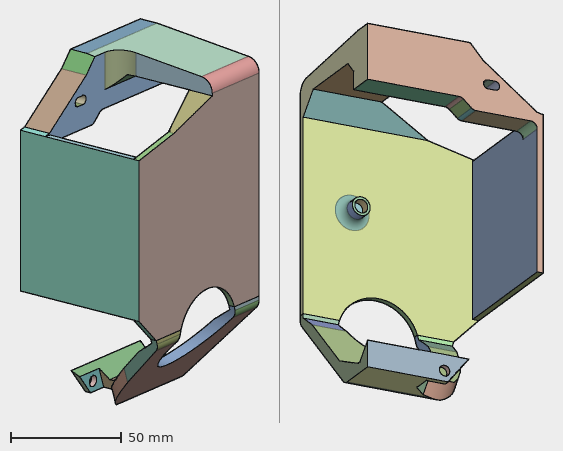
import cadquery as cq
import math

WIDTH = 68.0
DEPTH = 89.3
HEIGHT = 167.9
SHEET = 3.2
WALL_X = WIDTH - SHEET
SPLIT_Z = 49.2

PLATE_TOP_Z = 139.3
PLATE_BOTTOM_Z = 62.0

LEFT_WALL = 14.3
LEFT_WALL_BOTTOM_Z = 140.5
LEFT_WALL_STEP_Z = 135.2
STEP_BACK_Y = 41.6
STEP_FRONT_Y = 35.6
STEP_RADIUS = 3.4
HOOD_FRONT_Y = 37.3
HOOD_BREAK_Y = 30.5
HOOD_BREAK_Z = 160.3
HOOD_FOOT_Z = 140.0
ROOF_BOTTOM_Z = 155.3
ROOF_FRONT_Y = 54.4
ROOF_BREAK_X = 9.5
ROOF_EDGE_Z = 162.7
ROOF_EDGE_RADIUS = 6.7
NOTCH_RADIUS = 10.0
LEFT_GUSSET = 5.7
RIGHT_GUSSET = 10.0
RIGHT_WALL_BREAK_Y = 25.9
RIGHT_WALL_BREAK_Z = ROOF_BOTTOM_Z - RIGHT_GUSSET

SLOT_Y = 26.4
SLOT_Z = 149.1
SLOT_LENGTH = 8.0
SLOT_WIDTH = 4.4

BOSS_Y = 64.5
BOSS_Z = 103.0
BOSS_RADIUS = 9.0 / 2
BOSS_FLARE = 4.0
BOSS_LENGTH = 9.2
BOSS_HOLE_DIAMETER = 6.5
BOSS_HOLE_DEPTH = 5.0

OPENING_Y = 51.0
OPENING_Z = 42.6
OPENING_RADIUS = 20.8

FLANGE_HEIGHT = 13.1
GROOVE_Z = 5.2
GROOVE_LEFT_X = FLANGE_HEIGHT - GROOVE_Z
GROOVE_RIGHT_X = 9.7
RAMP_LOW_X = 28.4
RAMP_HIGH_X = 55.7
RAMP_HIGH_Z = FLANGE_HEIGHT + RAMP_HIGH_X - RAMP_LOW_X
WALL_FOOT_Z = 47.0
UNDERSIDE_X = 23.0
BEND_RADIUS = 5.5

FLANGE_THICKNESS = 3.0
FLANGE_TOP_Y = 37.8
FLANGE_BOTTOM_Y = 48.4
FLOOR_FRONT_Y = 58.1
FLOOR_CORNER_X = 12.5
FLOOR_CUT = 6.5
CURVE_POINTS = [(22.7, 43.0), (28.4, 35.6), (37.1, 31.0)]
CURVE_END_X = 44.3
EDGE_FRONT_Y = PLATE_BOTTOM_Z - SPLIT_Z
EDGE_SLOPE = 0.34
FLANGE_HOLE_Y = 50.2
FLANGE_HOLE_Z = 5.2
FLANGE_HOLE_DIAMETER = 5.2


def box(x0, x1, y0, y1, z0, z1):
    """Block given by its limits along each axis."""
    return cq.Workplane("XY").box(x1 - x0, y1 - y0, z1 - z0, centered=False).translate((x0, y0, z0))


def side_prism(points, x0, x1):
    """Extrude a Y-Z outline along X."""
    return cq.Workplane("YZ").workplane(offset=x0).polyline(points).close().extrude(x1 - x0)


def front_prism(points, y0, y1):
    """Extrude an X-Z outline along Y."""
    return cq.Workplane("XZ").workplane(offset=-y1).polyline(points).close().extrude(y1 - y0)


def opening():
    """Cylinder along X that clears the large opening."""
    return (
        cq.Workplane("YZ")
        .center(OPENING_Y, OPENING_Z)
        .circle(OPENING_RADIUS)
        .extrude(WIDTH)
    )


def make_left_wall():
    outline = [
        (0, PLATE_TOP_Z),
        (SHEET, HOOD_FOOT_Z),
        (HOOD_BREAK_Y, HOOD_BREAK_Z),
        (HOOD_FRONT_Y, HEIGHT),
        (DEPTH, HEIGHT),
        (DEPTH, LEFT_WALL_BOTTOM_Z),
        (STEP_BACK_Y, LEFT_WALL_BOTTOM_Z),
        (STEP_FRONT_Y, LEFT_WALL_STEP_Z),
        (0, LEFT_WALL_STEP_Z),
    ]
    wall = side_prism(outline, 0, LEFT_WALL)
    for y, z in [(STEP_BACK_Y, LEFT_WALL_BOTTOM_Z), (STEP_FRONT_Y, LEFT_WALL_STEP_Z)]:
        corner = cq.selectors.BoxSelector((-1.7, y - 0.2, z - 0.2), (LEFT_WALL + 1.7, y + 0.2, z + 0.2))
        wall = wall.edges(corner).fillet(STEP_RADIUS)
    slot = (
        cq.Workplane("YZ")
        .center(SLOT_Y, SLOT_Z)
        .slot2D(SLOT_LENGTH, SLOT_WIDTH)
        .extrude(LEFT_WALL)
    )
    return wall.cut(slot)


def make_right_wall():
    outline = [
        (0, PLATE_BOTTOM_Z),
        (0, PLATE_TOP_Z),
        (RIGHT_WALL_BREAK_Y, RIGHT_WALL_BREAK_Z),
        (ROOF_FRONT_Y, ROOF_BOTTOM_Z),
        (DEPTH, ROOF_BOTTOM_Z),
        (DEPTH, SPLIT_Z),
        (EDGE_FRONT_Y, SPLIT_Z),
    ]
    return side_prism(outline, WALL_X, WIDTH)


def make_roof():
    """Roof behind the notch, with the rounded corner of the notch and both gussets."""
    roof = box(LEFT_WALL, WIDTH, ROOF_FRONT_Y, DEPTH, ROOF_BOTTOM_Z, HEIGHT)
    corner_y = ROOF_FRONT_Y - NOTCH_RADIUS
    corner_x = LEFT_WALL + NOTCH_RADIUS
    corner_bottom = ROOF_BOTTOM_Z - LEFT_GUSSET
    corner = box(LEFT_WALL, corner_x, corner_y, ROOF_FRONT_Y, corner_bottom, HEIGHT)
    round_cut = (
        cq.Workplane("XY")
        .center(corner_x, corner_y)
        .circle(NOTCH_RADIUS)
        .extrude(HEIGHT)
    )
    slope_cut = front_prism(
        [
            (LEFT_WALL, corner_bottom),
            (LEFT_WALL + LEFT_GUSSET, ROOF_BOTTOM_Z),
            (corner_x, ROOF_BOTTOM_Z),
            (corner_x, corner_bottom),
        ],
        corner_y,
        ROOF_FRONT_Y,
    )
    left_gusset = front_prism(
        [
            (LEFT_WALL, ROOF_BOTTOM_Z),
            (LEFT_WALL + LEFT_GUSSET, ROOF_BOTTOM_Z),
            (LEFT_WALL, corner_bottom),
        ],
        ROOF_FRONT_Y,
        DEPTH,
    )
    right_gusset = front_prism(
        [
            (WALL_X - RIGHT_GUSSET, ROOF_BOTTOM_Z),
            (WALL_X, ROOF_BOTTOM_Z),
            (WALL_X, RIGHT_WALL_BREAK_Z),
        ],
        RIGHT_WALL_BREAK_Y,
        DEPTH,
    )
    gusset_limit = side_prism(
        [
            (RIGHT_WALL_BREAK_Y, RIGHT_WALL_BREAK_Z),
            (ROOF_FRONT_Y, ROOF_BOTTOM_Z),
            (DEPTH, ROOF_BOTTOM_Z),
            (DEPTH, RIGHT_WALL_BREAK_Z),
        ],
        0,
        WIDTH,
    )
    roof = roof.union(corner.cut(round_cut).cut(slope_cut))
    return roof.union(left_gusset).union(right_gusset.intersect(gusset_limit))


def make_roof_envelope():
    """Everything below the falling roof line and its rounded right edge."""
    outline = [
        (0, 0),
        (0, HEIGHT),
        (ROOF_BREAK_X, HEIGHT),
        (WIDTH, ROOF_EDGE_Z),
        (WIDTH, 0),
    ]
    edge = cq.selectors.NearestToPointSelector((WIDTH, DEPTH / 2, ROOF_EDGE_Z))
    return front_prism(outline, 0, DEPTH).edges(edge).fillet(ROOF_EDGE_RADIUS)


def make_boss():
    """Round boss pointing to -X, flared where it leaves the right wall, with a blind hole."""
    outer = BOSS_RADIUS + BOSS_FLARE
    middle = BOSS_FLARE * (1 - math.sqrt(0.5))
    boss = (
        cq.Workplane("XY")
        .moveTo(0, 0)
        .lineTo(0, outer)
        .threePointArc((-middle, BOSS_RADIUS + middle), (-BOSS_FLARE, BOSS_RADIUS))
        .lineTo(-BOSS_LENGTH, BOSS_RADIUS)
        .lineTo(-BOSS_LENGTH, 0)
        .close()
        .revolve(360, (0, 0, 0), (1, 0, 0))
    )
    hole = (
        cq.Workplane("YZ")
        .workplane(offset=-BOSS_LENGTH)
        .circle(BOSS_HOLE_DIAMETER / 2)
        .extrude(BOSS_HOLE_DEPTH)
    )
    return boss.cut(hole).translate((WALL_X, BOSS_Y, BOSS_Z))


def make_housing():
    plate = box(0, WIDTH, 0, SHEET, PLATE_BOTTOM_Z, PLATE_TOP_Z)
    inner_corner = (
        box(0, LEFT_WALL, SHEET, SHEET + STEP_RADIUS, LEFT_WALL_STEP_Z - STEP_RADIUS, LEFT_WALL_STEP_Z)
        .cut(
            cq.Workplane("YZ")
            .center(SHEET + STEP_RADIUS, LEFT_WALL_STEP_Z - STEP_RADIUS)
            .circle(STEP_RADIUS)
            .extrude(LEFT_WALL)
        )
    )
    housing = plate.union(make_left_wall()).union(make_right_wall()).union(make_roof())
    housing = housing.union(inner_corner).intersect(make_roof_envelope())
    return housing.union(make_boss()).cut(opening())


def make_bracket_section():
    """Bent cross section running the full depth: flange, groove, ramp and wall foot."""
    outline = [
        (0, 0),
        (0, FLANGE_HEIGHT),
        (GROOVE_LEFT_X, GROOVE_Z),
        (GROOVE_RIGHT_X, GROOVE_Z),
        (RAMP_LOW_X, FLANGE_HEIGHT),
        (RAMP_HIGH_X, RAMP_HIGH_Z),
        (WALL_X, WALL_FOOT_Z),
        (WALL_X, SPLIT_Z),
        (WIDTH, SPLIT_Z),
        (WIDTH, WIDTH - UNDERSIDE_X),
        (UNDERSIDE_X, 0),
    ]
    section = front_prism(outline, 0, DEPTH)
    for x, z in [(WIDTH, WIDTH - UNDERSIDE_X), (UNDERSIDE_X, 0)]:
        bend = cq.selectors.NearestToPointSelector((x, DEPTH / 2, z))
        section = section.edges(bend).fillet(BEND_RADIUS)
    return section


def make_bracket():
    section = make_bracket_section()
    lean = EDGE_SLOPE * SPLIT_Z
    foot_y = EDGE_FRONT_Y + lean
    plan = (
        cq.Workplane("XY")
        .moveTo(0, DEPTH + lean)
        .lineTo(0, FLOOR_FRONT_Y)
        .lineTo(FLOOR_CORNER_X, FLOOR_FRONT_Y)
        .lineTo(FLOOR_CORNER_X + FLOOR_CUT, FLOOR_FRONT_Y - FLOOR_CUT)
        .spline(CURVE_POINTS + [(CURVE_END_X, foot_y)], includeCurrent=True)
        .lineTo(WIDTH, foot_y)
        .lineTo(WIDTH, DEPTH + lean)
        .close()
    )
    leaning_block = cq.Workplane(cq.Solid.extrudeLinear(plan.val(), [], cq.Vector(0, -lean, SPLIT_Z)))
    flange_limit = side_prism(
        [
            (FLANGE_TOP_Y, FLANGE_HEIGHT),
            (FLANGE_BOTTOM_Y, 0),
            (DEPTH, 0),
            (DEPTH, FLANGE_HEIGHT),
        ],
        0,
        FLANGE_THICKNESS,
    )
    flange_hole = (
        cq.Workplane("YZ")
        .center(FLANGE_HOLE_Y, FLANGE_HOLE_Z)
        .circle(FLANGE_HOLE_DIAMETER / 2)
        .extrude(FLANGE_THICKNESS)
    )
    body = section.intersect(leaning_block)
    flange = section.intersect(flange_limit)
    return body.union(flange).cut(opening()).cut(flange_hole)


housing = make_housing()
bracket = make_bracket()

result = cq.Compound.makeCompound([
    *housing.vals(),
    *bracket.vals(),
])